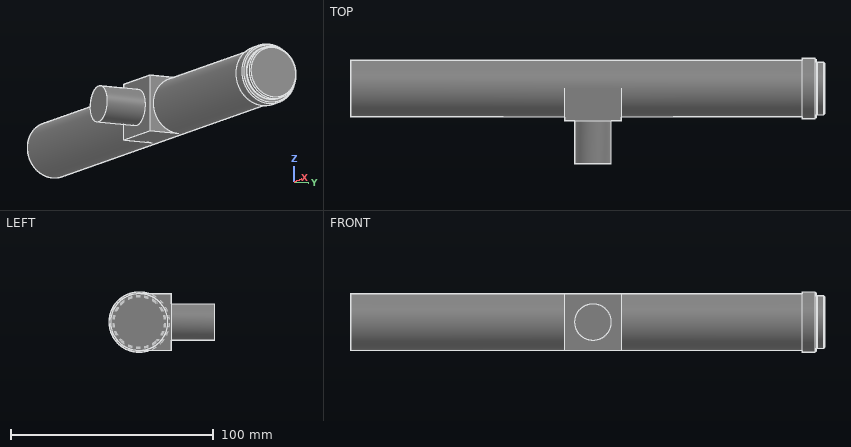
import cadquery as cq

total_length = 233.8
spigot_length = 4.2
collar_length = 7.0
collar_end = total_length - spigot_length
collar_start = collar_end - collar_length

tube_diameter = 28.0
collar_diameter = 30.0
spigot_diameter = 26.2
neck_diameter = 25.7
neck_length = 0.7
edge_chamfer = 0.7

branch_x = 119.5
block_width = tube_diameter
block_height = tube_diameter
block_reach = 16.0
stub_diameter = 18.0
stub_reach = 37.2


def rod(start, length, diameter):
    """Cylinder on the tube axis."""
    return cq.Workplane("YZ").workplane(offset=start).circle(diameter / 2).extrude(length)


def make_body():
    """Tube with an end collar, a narrow neck and a spigot."""
    tube = rod(0, collar_start, tube_diameter)
    collar = rod(collar_start, collar_length, collar_diameter).faces(">X").chamfer(edge_chamfer)
    neck = rod(collar_end, neck_length, neck_diameter)
    spigot_start = collar_end + neck_length
    spigot = rod(spigot_start, total_length - spigot_start, spigot_diameter)
    spigot = spigot.faces(">X").chamfer(edge_chamfer)
    return tube.union(collar).union(neck).union(spigot)


def make_branch():
    """Square block from the tube axis outward, carrying a round stub."""
    plane = cq.Workplane("XZ", origin=(branch_x, 0, 0))
    block = plane.rect(block_width, block_height).extrude(block_reach)
    stub = plane.circle(stub_diameter / 2).extrude(stub_reach)
    return block.union(stub)


result = make_body().union(make_branch())